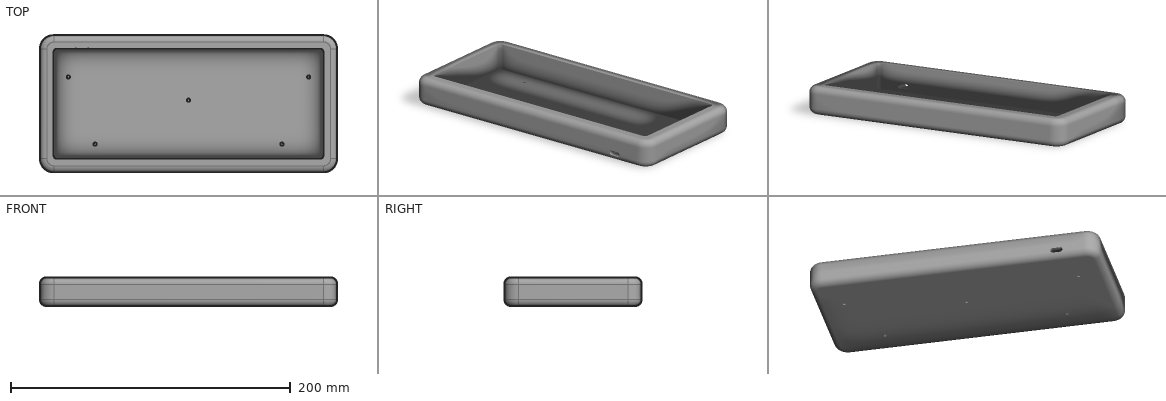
import cadquery as cq

length = 212.5
width = 98.2
height = 20.6
corner_radius = 10.0
edge_radius = 4.9

wall = 9.8
floor_thickness = 1.5
cavity_corner_radius = 2.5

hole_diameter = 2.1
rear_hole_x = 85.8
rear_hole_y = 19.1
front_hole_x = 66.7
front_hole_y = -29.0
center_hole_y = 2.5

slot_length = 9.0
slot_height = 3.6
slot_center_x = -76.0
slot_center_z = 5.5


def make_body():
    """Rounded block, bottom face at Z = 0."""
    block = cq.Workplane("XY").box(length, width, height, centered=(True, True, False))
    return block.edges("|Z").fillet(corner_radius).faces("<Z or >Z").edges().fillet(edge_radius)


def make_cavity():
    """Pocket from the top face down to the floor."""
    return (
        cq.Workplane("XY")
        .workplane(offset=floor_thickness)
        .rect(length - 2 * wall, width - 2 * wall)
        .extrude(height - floor_thickness)
        .edges("|Z")
        .fillet(cavity_corner_radius)
    )


def make_floor_holes():
    """Two rear, two front and one central hole through the floor."""
    centers = [(0, center_hole_y)]
    for side in (-1, 1):
        centers.append((side * rear_hole_x, rear_hole_y))
        centers.append((side * front_hole_x, front_hole_y))
    return cq.Workplane("XY").pushPoints(centers).circle(hole_diameter / 2).extrude(floor_thickness)


def make_cable_slot():
    """Round-ended slot along X, cut through the rear wall."""
    return (
        cq.Workplane("XZ", origin=(slot_center_x, width / 2, slot_center_z))
        .slot2D(slot_length, slot_height)
        .extrude(wall)
    )


result = make_body().cut(make_cavity()).cut(make_floor_holes()).cut(make_cable_slot())